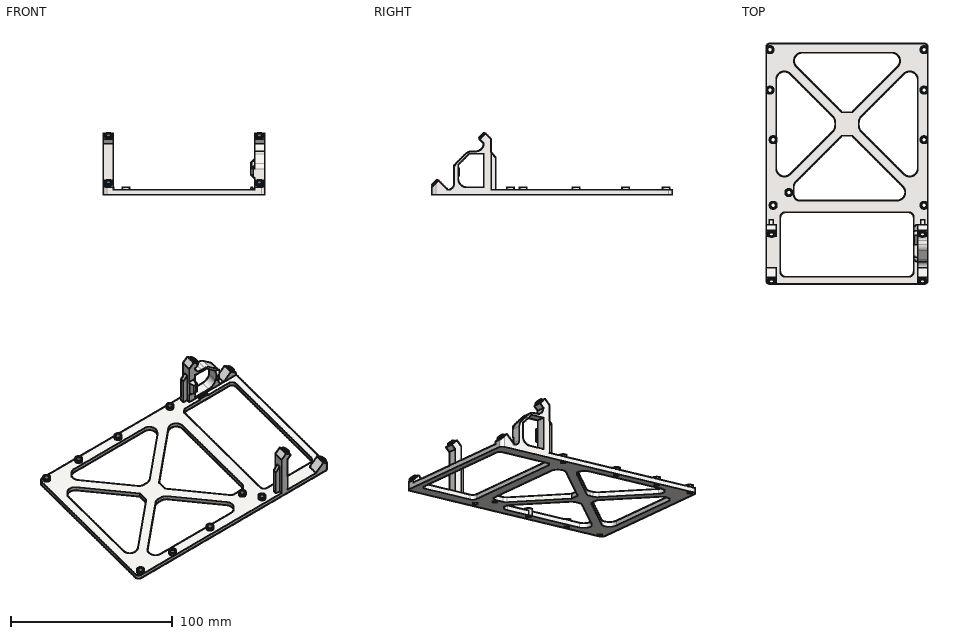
import cadquery as cq
import math


WIDTH = 100.0
LENGTH = 148.73
BASE_THICKNESS = 3.2
BASE_CORNER_RADIUS = 2.4
HALF_WIDTH = WIDTH / 2

SIDE_RAIL = 6.3
BACK_RAIL = 5.8
LATTICE_FRONT_Y = 51.7
HUB_Y = 98.93
HUB_HALF = 7.4
BRACE_WIDTH = 6.0
WINDOW_RADIUS = 5.0
CLIPPED_CORNER_X = -32.8
CLIPPED_CORNER_RADIUS = 3.5

FRONT_WINDOW_HALF_WIDTH = 41.1
FRONT_WINDOW_FRONT_Y = 4.6
FRONT_WINDOW_BACK_Y = 44.3
FRONT_WINDOW_RADIUS = 3.0

BOSS_DIAMETER = 4.65
BOSS_HOLE_DIAMETER = 3.15
BOSS_HEIGHT = 1.6
OUTER_BOSS_X = 47.6
INSET_BOSS_X = 45.6
BACK_BOSS_ROWS_Y = (144.85, 119.85)
FRONT_BOSS_ROWS_Y = (89.2, 48.7)
EXTRA_BOSS = (-35.9, 56.55)

POST_WIDTH = 6.4
POST_FRONT_Y = 32.1
POST_DEPTH = 4.7
FOOT_BACK_Y = 10.0
PANEL_PLANE_Z = 4.7
SEAT_LENGTH = 5.3
SEAT_SPACING = 41.07
SEAT_BOSS_X = 46.6
SEAT_BOSS_HEIGHT = 1.0
SEAT_HOLE_DEPTH = 5.0

RIB_WIDTH = 2.5
RIB_DEPTH = 2.9
RIB_BACK_HEIGHT = 22.9
RIB_TOP_HEIGHT = 26.4
RIB_CENTRE_X = 46.9

STRAP_THICKNESS = 1.6
STRAP_TOP_Z = 26.9
LOOP_FRONT_Y = 13.75
LOOP_WALL = 2.8
LOOP_DIAGONAL_RISE = 4.4
LOOP_RADIUS = 5.0

CATCH_REACH = 2.5
CATCH_LAND = 0.7
CATCH_LIP = 0.6
LIP_WIDTH = 0.8
CATCH_BOTTOM_Z = 10.1
POST_CATCH_TOP_Z = 22.2
LOOP_CATCH_TOP_Z = 18.2
POST_CATCH_SETBACK = 1.0
RIDGE_FRONT_Y = 24.2
RIDGE_BACK_Y = 30.1

SIN_45 = math.sqrt(0.5)
POST_BACK_Y = POST_FRONT_Y + POST_DEPTH
POST_INNER_X = HALF_WIDTH - POST_WIDTH
LOOP_INNER_Y = LOOP_FRONT_Y + LOOP_WALL
BRACE_OFFSET = BRACE_WIDTH / 2 / SIN_45
FOOT_APEX_Y = (FOOT_BACK_Y + BASE_THICKNESS - PANEL_PLANE_Z) / 2
FOOT_SEAT_Y = FOOT_APEX_Y - SEAT_LENGTH / 2 * SIN_45
HEAD_SEAT_Y = FOOT_SEAT_Y + SEAT_SPACING * SIN_45


def base_prism(points):
    """Solid with the given XY outline, as thick as the base."""
    return cq.Workplane("XY").polyline(points).close().extrude(BASE_THICKNESS)


def side_prism(points, start_x, width):
    """Solid with the given YZ outline, extruded along X from start_x."""
    return cq.Workplane("YZ", origin=(start_x, 0, 0)).polyline(points).close().extrude(width)


def rounded_block(width, front_y, back_y, radius, height=BASE_THICKNESS):
    depth = back_y - front_y
    block = cq.Workplane("XY").box(width, depth, height, centered=(True, False, False))
    return block.edges("|Z").fillet(radius).translate((0, front_y, 0))


def side_window(side):
    """Window between the hub and a side rail; side is +1 (right) or -1 (left)."""
    rail_x = HALF_WIDTH - SIDE_RAIL
    hub_rise = HUB_HALF - BRACE_OFFSET
    rail_rise = rail_x - BRACE_OFFSET
    window = base_prism([
        (side * HUB_HALF, HUB_Y - hub_rise),
        (side * rail_x, HUB_Y - rail_rise),
        (side * rail_x, HUB_Y + rail_rise),
        (side * HUB_HALF, HUB_Y + hub_rise),
    ])
    return window.edges("|Z").fillet(WINDOW_RADIUS)


def back_window():
    back_y = LENGTH - BACK_RAIL
    hub_run = HUB_HALF - BRACE_OFFSET
    back_run = back_y - HUB_Y - BRACE_OFFSET
    hub_edge_y = HUB_Y + HUB_HALF
    window = base_prism([
        (-hub_run, hub_edge_y),
        (-back_run, back_y),
        (back_run, back_y),
        (hub_run, hub_edge_y),
    ])
    return window.edges("|Z and >Y").fillet(WINDOW_RADIUS)


def middle_window():
    """Window in front of the hub; its left corner is cut off beside the extra boss."""
    hub_run = HUB_HALF - BRACE_OFFSET
    front_run = HUB_Y - LATTICE_FRONT_Y - BRACE_OFFSET
    hub_edge_y = HUB_Y - HUB_HALF
    clip_y = HUB_Y + CLIPPED_CORNER_X - BRACE_OFFSET
    window = base_prism([
        (-hub_run, hub_edge_y),
        (CLIPPED_CORNER_X, clip_y),
        (CLIPPED_CORNER_X, LATTICE_FRONT_Y),
        (front_run, LATTICE_FRONT_Y),
        (hub_run, hub_edge_y),
    ])
    window = window.edges("|Z and >X").fillet(WINDOW_RADIUS)
    return window.edges("|Z and <X").fillet(CLIPPED_CORNER_RADIUS)


def front_window():
    return rounded_block(
        2 * FRONT_WINDOW_HALF_WIDTH, FRONT_WINDOW_FRONT_Y, FRONT_WINDOW_BACK_Y, FRONT_WINDOW_RADIUS
    )


def base_plate():
    plate = rounded_block(WIDTH, 0, LENGTH, BASE_CORNER_RADIUS)
    windows = (side_window(1), side_window(-1), back_window(), middle_window(), front_window())
    for window in windows:
        plate = plate.cut(window)
    return plate


def boss_places():
    places = [EXTRA_BOSS]
    for y in BACK_BOSS_ROWS_Y:
        places += [(-OUTER_BOSS_X, y), (OUTER_BOSS_X, y)]
    for y in FRONT_BOSS_ROWS_Y:
        places += [(-INSET_BOSS_X, y), (OUTER_BOSS_X, y)]
    return places


def add_base_bosses(body):
    """Round bosses with holes that pass through the base."""
    height = BASE_THICKNESS + BOSS_HEIGHT
    sketch = cq.Workplane("XY").pushPoints(boss_places())
    bosses = sketch.circle(BOSS_DIAMETER / 2).extrude(height)
    holes = sketch.circle(BOSS_HOLE_DIAMETER / 2).extrude(height)
    return body.union(bosses).cut(holes)


def panel_z(y):
    return PANEL_PLANE_Z + y


def foot(start_x):
    wedge = side_prism(
        [
            (0, 0),
            (0, PANEL_PLANE_Z),
            (FOOT_APEX_Y, panel_z(FOOT_APEX_Y)),
            (FOOT_BACK_Y, BASE_THICKNESS),
            (FOOT_BACK_Y, 0),
        ],
        start_x,
        POST_WIDTH,
    )
    return wedge.intersect(rounded_block(WIDTH, 0, LENGTH, BASE_CORNER_RADIUS, STRAP_TOP_Z))


def post(start_x):
    half_seat = SEAT_LENGTH / 2 * SIN_45
    tip_y = HEAD_SEAT_Y - half_seat
    apex_y = HEAD_SEAT_Y + half_seat
    neck_z = panel_z(tip_y) - (POST_FRONT_Y - tip_y)
    shoulder_z = panel_z(apex_y) - (POST_BACK_Y - apex_y)
    return side_prism(
        [
            (POST_FRONT_Y, 0),
            (POST_FRONT_Y, neck_z),
            (tip_y, panel_z(tip_y)),
            (apex_y, panel_z(apex_y)),
            (POST_BACK_Y, shoulder_z),
            (POST_BACK_Y, 0),
        ],
        start_x,
        POST_WIDTH,
    )


def rib(side):
    rib_back_y = POST_BACK_Y + RIB_DEPTH
    return side_prism(
        [
            (POST_BACK_Y, 0),
            (rib_back_y, 0),
            (rib_back_y, RIB_BACK_HEIGHT),
            (POST_BACK_Y, RIB_TOP_HEIGHT),
        ],
        side * RIB_CENTRE_X - RIB_WIDTH / 2,
        RIB_WIDTH,
    )


def seat_cylinder(side, seat_y, diameter, below, above):
    """Cylinder square to the panel plane, reaching below and above it."""
    plane = cq.Plane(
        origin=(side * SEAT_BOSS_X, seat_y, panel_z(seat_y)), xDir=(1, 0, 0), normal=(0, -1, 1)
    )
    start = cq.Workplane(plane).workplane(offset=-below)
    return start.circle(diameter / 2).extrude(below + above)


def add_supports(body):
    """Foot, post and rib on both sides, with a drilled boss on each seat."""
    for side in (-1, 1):
        start_x = POST_INNER_X if side > 0 else -HALF_WIDTH
        body = body.union(foot(start_x)).union(post(start_x)).union(rib(side))
        for seat_y in (FOOT_SEAT_Y, HEAD_SEAT_Y):
            boss = seat_cylinder(side, seat_y, BOSS_DIAMETER, SEAT_BOSS_HEIGHT, SEAT_BOSS_HEIGHT)
            hole = seat_cylinder(
                side, seat_y, BOSS_HOLE_DIAMETER, SEAT_HOLE_DEPTH, SEAT_BOSS_HEIGHT
            )
            body = body.union(boss).cut(hole)
    return body


def loop_outline(front_y, bottom_z, top_z, diagonal_rise):
    """Loop outline with a 45 degree upper front corner; diagonal_rise is z - y along it."""
    return [
        (POST_FRONT_Y, bottom_z),
        (front_y, bottom_z),
        (front_y, front_y + diagonal_rise),
        (top_z - diagonal_rise, top_z),
        (POST_FRONT_Y, top_z),
    ]


def round_corners(body, corners, radius):
    """Fillet the X-direction edges that pass through the given (y, z) corners."""
    for y, z in corners:
        nearest = cq.NearestToPointSelector((POST_INNER_X + POST_WIDTH / 2, y, z))
        body = body.edges("|X").edges(nearest).fillet(radius)
    return body


def corner_web(y, z, radius):
    """Concave web in the corner at (y, z), towards the front and upwards."""
    arc_y = y - radius * (1 - SIN_45)
    arc_z = z + radius * (1 - SIN_45)
    return (
        cq.Workplane("YZ", origin=(POST_INNER_X, 0, 0))
        .moveTo(y, z)
        .lineTo(y - radius, z)
        .threePointArc((arc_y, arc_z), (y, z + radius))
        .close()
        .extrude(POST_WIDTH)
    )


def strap_loop():
    outer_points = loop_outline(LOOP_FRONT_Y, BASE_THICKNESS, STRAP_TOP_Z, LOOP_DIAGONAL_RISE)
    outer = side_prism(outer_points, POST_INNER_X, POST_WIDTH)
    outer = round_corners(outer, outer_points[2:4], LOOP_RADIUS)

    inner_points = loop_outline(
        LOOP_INNER_Y,
        BASE_THICKNESS + STRAP_THICKNESS,
        STRAP_TOP_Z - STRAP_THICKNESS,
        LOOP_DIAGONAL_RISE - STRAP_THICKNESS / SIN_45,
    )
    inner = side_prism(inner_points, POST_INNER_X, POST_WIDTH)
    inner = round_corners(inner, inner_points[1:2], LOOP_RADIUS)

    post_web = corner_web(POST_FRONT_Y, STRAP_TOP_Z, LOOP_RADIUS)
    foot_web = corner_web(LOOP_FRONT_Y, BASE_THICKNESS, LOOP_FRONT_Y - FOOT_BACK_Y)
    return outer.cut(inner).union(post_web).union(foot_web)


def catch(outer_y, inner_y, top_z):
    """Catch with a slope towards outer_y, a lip past inner_y, and tapered top and bottom."""
    inward = math.copysign(1, inner_y - outer_y)
    tip_x = POST_INNER_X - CATCH_REACH
    land_x = POST_INNER_X - CATCH_LAND
    lip_x = tip_x + LIP_WIDTH
    slope_end_y = outer_y + inward * (CATCH_REACH - CATCH_LAND)
    lip_y = inner_y + inward * CATCH_LIP
    plan = [
        (POST_INNER_X, outer_y),
        (land_x, outer_y),
        (tip_x, slope_end_y),
        (tip_x, lip_y),
        (lip_x, lip_y),
        (lip_x, inner_y),
        (POST_INNER_X, inner_y),
    ]
    body = cq.Workplane("XY").polyline(plan).close().extrude(top_z)
    taper = [
        (POST_INNER_X, CATCH_BOTTOM_Z),
        (tip_x, CATCH_BOTTOM_Z + CATCH_REACH),
        (tip_x, top_z - CATCH_REACH),
        (POST_INNER_X, top_z),
    ]
    envelope = cq.Workplane("XZ").polyline(taper).close().extrude(-LENGTH)
    return body.intersect(envelope)


def ridge():
    """Ridge along the edge of the front window, with a 45 degree slope on either side."""
    peak_x = FRONT_WINDOW_HALF_WIDTH + LIP_WIDTH
    peak_z = BASE_THICKNESS + STRAP_THICKNESS
    section = [
        (FRONT_WINDOW_HALF_WIDTH, BASE_THICKNESS),
        (FRONT_WINDOW_HALF_WIDTH, peak_z - LIP_WIDTH),
        (peak_x, peak_z),
        (peak_x + STRAP_THICKNESS, BASE_THICKNESS),
    ]
    start = cq.Workplane("XZ", origin=(0, RIDGE_BACK_Y, 0))
    return start.polyline(section).close().extrude(RIDGE_BACK_Y - RIDGE_FRONT_Y)


def add_catches(body):
    post_catch = catch(POST_BACK_Y, POST_FRONT_Y + POST_CATCH_SETBACK, POST_CATCH_TOP_Z)
    loop_catch = catch(LOOP_FRONT_Y, LOOP_INNER_Y, LOOP_CATCH_TOP_Z)
    return body.union(post_catch).union(loop_catch).union(ridge())


result = base_plate()
result = add_base_bosses(result)
result = add_supports(result)
result = result.union(strap_loop())
result = add_catches(result)